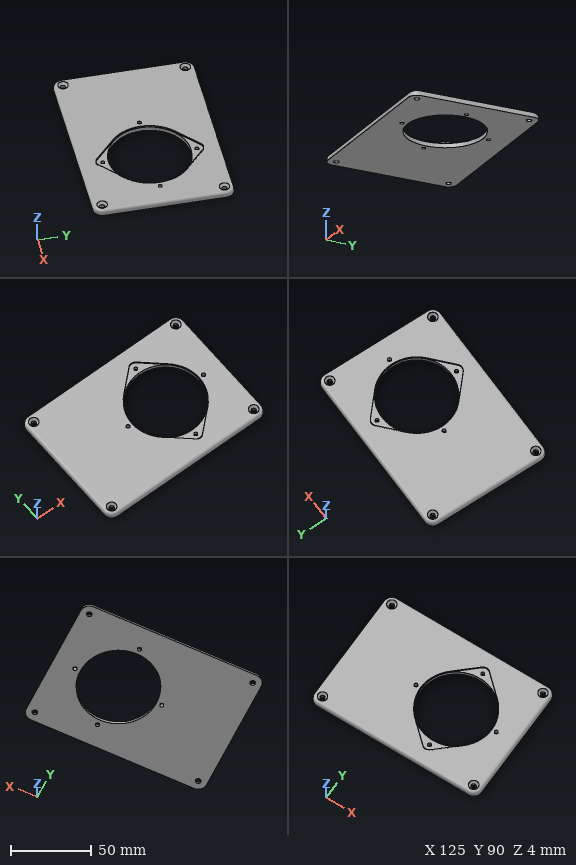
import cadquery as cq
import math

length = 125.0
width = 90.0
thickness = 4.0
corner_radius = 6.0
edge_fillet = 2.0

screw_diameter = 3.2
countersink_diameter = 6.5
countersink_angle = 90.0

opening_x = 17.5
opening_diameter = 52.5
mount_offset = 30.0
mount_diameter = 2.4

recess_depth = 1.0
recess_radius = 26.5
recess_tip_radius = 4.2


def make_plate():
    plate = cq.Workplane("XY").box(length, width, thickness, centered=(True, True, False))
    return plate.edges("|Z").fillet(corner_radius).faces(">Z").edges().fillet(edge_fillet)


def make_recess():
    normal_angle = math.acos((recess_radius - recess_tip_radius) / mount_offset)
    normal_x = math.sin(normal_angle)
    normal_y = math.cos(normal_angle)
    side_x = recess_radius * normal_x
    side_y = recess_radius * normal_y
    tip_x = recess_tip_radius * normal_x
    tip_y = mount_offset + recess_tip_radius * normal_y
    tip_end = mount_offset + recess_tip_radius
    return (
        cq.Workplane("XY", origin=(opening_x, 0, thickness - recess_depth))
        .moveTo(side_x, side_y)
        .lineTo(tip_x, tip_y)
        .threePointArc((0, tip_end), (-tip_x, tip_y))
        .lineTo(-side_x, side_y)
        .threePointArc((-recess_radius, 0), (-side_x, -side_y))
        .lineTo(-tip_x, -tip_y)
        .threePointArc((0, -tip_end), (tip_x, -tip_y))
        .lineTo(side_x, -side_y)
        .threePointArc((recess_radius, 0), (side_x, side_y))
        .close()
        .extrude(recess_depth)
    )


def make_opening():
    center = cq.Workplane("XY", origin=(opening_x, 0, 0))
    opening = center.circle(opening_diameter / 2).extrude(thickness)
    mounts = (
        center.polarArray(mount_offset, 0, 360, 4)
        .circle(mount_diameter / 2)
        .extrude(thickness)
    )
    return opening.union(mounts)


def add_screw_holes(plate):
    return (
        plate.faces(">Z")
        .workplane(origin=(0, 0, thickness))
        .rect(length - 2 * corner_radius, width - 2 * corner_radius, forConstruction=True)
        .vertices()
        .cskHole(screw_diameter, countersink_diameter, countersink_angle)
    )


result = add_screw_holes(make_plate()).cut(make_recess()).cut(make_opening())